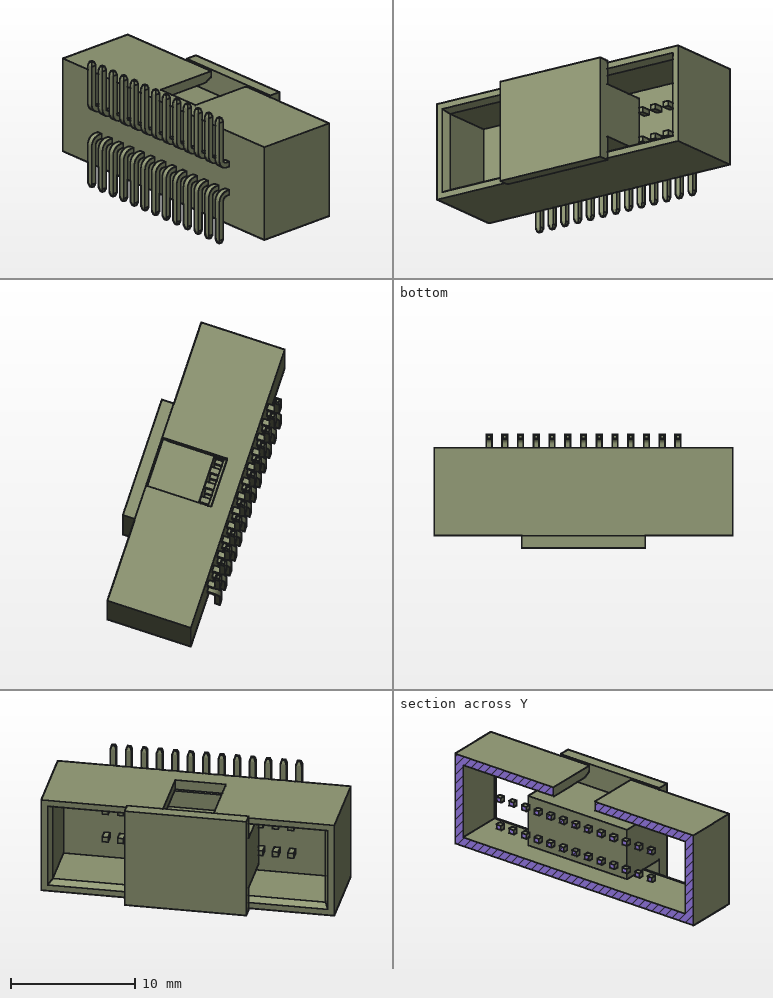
import cadquery as cq
import math

HOUSING_LENGTH = 24.05
HOUSING_DEPTH = 7.1
HOUSING_HEIGHT = 8.18
WALL = 0.85
CAVITY_DEPTH = 5.22
MOUTH_BEVEL_HEIGHT = 0.31
MOUTH_BEVEL_DEPTH = 0.63

NOTCH_WIDTH = 4.16
NOTCH_DEPTH = 5.5

PINS_PER_ROW = 13
ROW_LENGTH = 15.23
PIN_WIDTH = 0.48
PIN_THICKNESS = 0.43
ROW_OFFSET = 1.25
TAIL_REACH = 1.08
TAIL_SPAN = 11.0
BEND_INNER_RADIUS = 0.35
TIP_LENGTH = 0.31
TIP_SCALE = 0.55

CAP_WIDTH = 9.98
PLATE_THICKNESS = 1.0
PLATE_HEIGHT = 8.5
PLUG_DEPTH = 4.35
PLUG_HEIGHT = 4.48

pin_pitch = ROW_LENGTH / (PINS_PER_ROW - 1)
cavity_length = HOUSING_LENGTH - 2 * WALL
cavity_height = HOUSING_HEIGHT - 2 * WALL
cavity_floor_y = HOUSING_DEPTH - CAVITY_DEPTH
plug_end_y = HOUSING_DEPTH - PLUG_DEPTH


def block(size_x, size_z, y_start, y_end):
    """Box centred on X and Z that runs between two Y positions."""
    depth = y_end - y_start
    return cq.Workplane("XY").box(size_x, depth, size_z).translate((0, y_start + depth / 2, 0))


def make_mouth_bevel():
    """Frustum that widens the cavity toward the mouth."""
    widening = 2 * MOUTH_BEVEL_HEIGHT
    return (
        cq.Workplane("XZ", origin=(0, HOUSING_DEPTH, 0))
        .rect(cavity_length + widening, cavity_height + widening)
        .workplane(offset=MOUTH_BEVEL_DEPTH)
        .rect(cavity_length, cavity_height)
        .loft(ruled=True)
    )


def make_housing():
    """Box with the cavity, its bevelled mouth and the notch cut out."""
    shell = block(HOUSING_LENGTH, HOUSING_HEIGHT, 0, HOUSING_DEPTH)
    cavity = block(cavity_length, cavity_height, cavity_floor_y, HOUSING_DEPTH)
    notch = block(NOTCH_WIDTH, WALL, HOUSING_DEPTH - NOTCH_DEPTH, HOUSING_DEPTH).translate(
        (0, 0, (HOUSING_HEIGHT - WALL) / 2)
    )
    return shell.cut(cavity).cut(make_mouth_bevel()).cut(notch)


def make_pin():
    """Upper-row pin at X = 0: contact along Y, quarter bend, then a tail up to a tapered tip."""
    inner_z = ROW_OFFSET - PIN_THICKNESS / 2
    outer_z = ROW_OFFSET + PIN_THICKNESS / 2
    back_y = -TAIL_REACH
    front_y = back_y + PIN_THICKNESS
    outer_radius = BEND_INNER_RADIUS + PIN_THICKNESS
    bend_y = back_y + outer_radius
    bend_z = inner_z + outer_radius
    tip_base_z = TAIL_SPAN / 2 - TIP_LENGTH
    diagonal = math.sqrt(0.5)
    body = (
        cq.Workplane("YZ", origin=(-PIN_WIDTH / 2, 0, 0))
        .moveTo(plug_end_y, inner_z)
        .lineTo(bend_y, inner_z)
        .threePointArc((bend_y - outer_radius * diagonal, bend_z - outer_radius * diagonal), (back_y, bend_z))
        .lineTo(back_y, tip_base_z)
        .lineTo(front_y, tip_base_z)
        .lineTo(front_y, bend_z)
        .threePointArc(
            (bend_y - BEND_INNER_RADIUS * diagonal, bend_z - BEND_INNER_RADIUS * diagonal),
            (bend_y, outer_z),
        )
        .lineTo(plug_end_y, outer_z)
        .close()
        .extrude(PIN_WIDTH)
    )
    tip = (
        cq.Workplane("XY", origin=(0, (back_y + front_y) / 2, tip_base_z))
        .rect(PIN_WIDTH, PIN_THICKNESS)
        .workplane(offset=TIP_LENGTH)
        .rect(PIN_WIDTH * TIP_SCALE, PIN_THICKNESS * TIP_SCALE)
        .loft(ruled=True)
    )
    return body.union(tip)


def make_connector():
    """Housing and both rows of pins as one solid."""
    body = make_housing()
    upper_pin = make_pin()
    lower_pin = upper_pin.mirror("XY")
    first_x = -ROW_LENGTH / 2
    for index in range(PINS_PER_ROW):
        x = first_x + index * pin_pitch
        for pin in (upper_pin, lower_pin):
            body = body.union(pin.translate((x, 0, 0)))
    return body


def make_cap():
    """Plate over the mouth of the shroud with the plug that ends against the pins."""
    plate = block(CAP_WIDTH, PLATE_HEIGHT, HOUSING_DEPTH, HOUSING_DEPTH + PLATE_THICKNESS)
    plug = block(CAP_WIDTH, PLUG_HEIGHT, plug_end_y, HOUSING_DEPTH)
    return plate.union(plug)


connector = make_connector()
cap = make_cap()

result = cq.Compound.makeCompound([connector.val(), cap.val()])